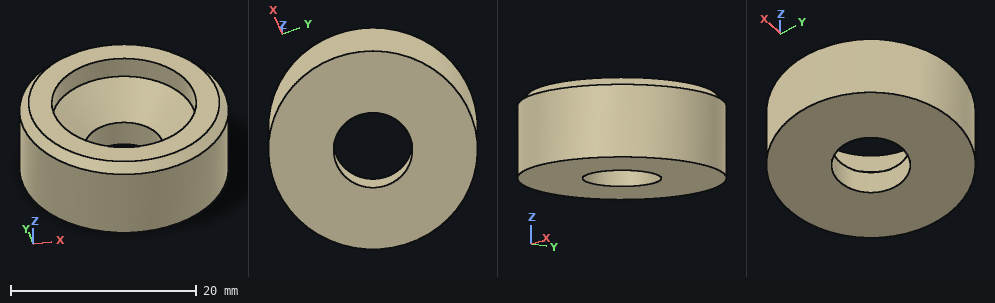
import cadquery as cq

outer_diameter = 22.6
height = 9.0
rim_chamfer = 1.0
bore_diameter = 8.5
recess_diameter = 15.6
recess_depth = 2.45

seat_depth = (recess_diameter - bore_diameter) / 2
recess_floor = height - recess_depth
seat_bottom = recess_floor - seat_depth

section = (
    cq.Workplane("XZ")
    .moveTo(bore_diameter / 2, 0)
    .lineTo(outer_diameter / 2, 0)
    .lineTo(outer_diameter / 2, height - rim_chamfer)
    .lineTo(outer_diameter / 2 - rim_chamfer, height)
    .lineTo(recess_diameter / 2, height)
    .lineTo(recess_diameter / 2, recess_floor)
    .lineTo(bore_diameter / 2, seat_bottom)
    .close()
)

result = section.revolve(360, (0, 0, 0), (0, 1, 0))